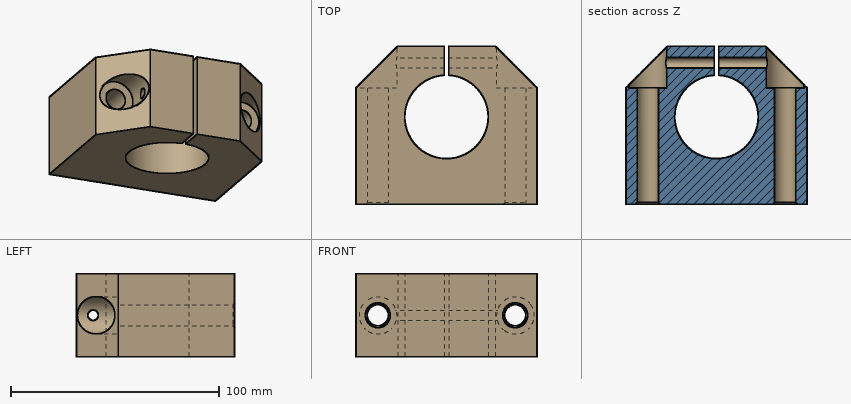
import cadquery as cq

WIDTH = 87.0
DEPTH = 76.0
HEIGHT = 40.0
BORE_DIAMETER = 40.0
BORE_TO_FRONT = 42.0
CORNER_CHAMFER = 20.0
SLOT_WIDTH = 2.0

FRONT_Y = -BORE_TO_FRONT
BACK_Y = FRONT_Y + DEPTH

MOUNT_SPACING = 66.0
MOUNT_DIAMETER = 10.11
MOUNT_MOUTH_DIAMETER = 12.0
MOUNT_MOUTH_DEPTH = (MOUNT_MOUTH_DIAMETER - MOUNT_DIAMETER) / 2
COUNTERBORE_DIAMETER = 18.0
COUNTERBORE_DEPTH = CORNER_CHAMFER

CLAMP_DIAMETER = 4.92
CLAMP_TO_BACK = 8.0


def make_block():
    """Rectangular block with its two back corners cut off at 45 degrees."""
    block = cq.Workplane("XY").box(WIDTH, DEPTH, HEIGHT)
    block = block.edges("|Z and >Y").chamfer(CORNER_CHAMFER)
    return block.translate((0, (FRONT_Y + BACK_Y) / 2, 0))


def make_bore_and_slot():
    """Main bore, opened to the back face by a narrow slot."""
    bore = cq.Workplane("XY").circle(BORE_DIAMETER / 2).extrude(HEIGHT / 2, both=True)
    slot = cq.Workplane("XY").box(SLOT_WIDTH, BACK_Y, HEIGHT).translate((0, BACK_Y / 2, 0))
    return bore.union(slot)


def make_mounting_hole(x):
    """Through hole with a bevelled front mouth and a back counterbore."""
    drill_radius = MOUNT_DIAMETER / 2
    mouth_radius = MOUNT_MOUTH_DIAMETER / 2
    counterbore_radius = COUNTERBORE_DIAMETER / 2
    counterbore_floor_y = BACK_Y - COUNTERBORE_DEPTH
    profile = [
        (0, FRONT_Y),
        (mouth_radius, FRONT_Y),
        (drill_radius, FRONT_Y + MOUNT_MOUTH_DEPTH),
        (drill_radius, counterbore_floor_y),
        (counterbore_radius, counterbore_floor_y),
        (counterbore_radius, BACK_Y),
        (0, BACK_Y),
    ]
    hole = cq.Workplane("XY").polyline(profile).close().revolve(360, (0, 0), (0, 1))
    return hole.translate((x, 0, 0))


def make_clamp_hole():
    """Screw hole through both jaws."""
    drill = cq.Workplane("YZ").center(BACK_Y - CLAMP_TO_BACK, 0)
    return drill.circle(CLAMP_DIAMETER / 2).extrude(WIDTH / 2, both=True)


result = make_block().cut(make_bore_and_slot())
for mount_x in (-MOUNT_SPACING / 2, MOUNT_SPACING / 2):
    result = result.cut(make_mounting_hole(mount_x))
result = result.cut(make_clamp_hole())